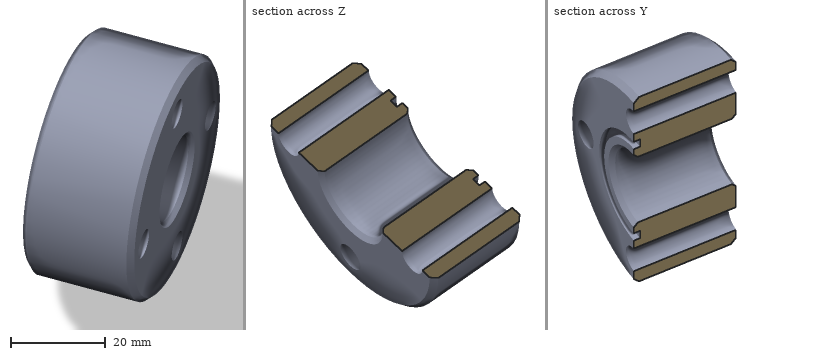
import cadquery as cq

outer_diameter = 54.0
width = 25.0
rim_chamfer = 1.3

bore_diameter = 19.0
bore_chamfer = 1.0

groove_outer_diameter = 28.75
groove_inner_diameter = 24.75
groove_depth = 1.5

hole_diameter = 6.5
hole_count = 4
bolt_circle_diameter = 40.0


def ring_body():
    """Revolve the section, with both rims and both bore mouths chamfered."""
    outer_radius = outer_diameter / 2
    bore_radius = bore_diameter / 2
    half_width = width / 2
    section = [
        (-half_width, bore_radius + bore_chamfer),
        (-half_width, outer_radius - rim_chamfer),
        (-half_width + rim_chamfer, outer_radius),
        (half_width - rim_chamfer, outer_radius),
        (half_width, outer_radius - rim_chamfer),
        (half_width, bore_radius + bore_chamfer),
        (half_width - bore_chamfer, bore_radius),
        (-half_width + bore_chamfer, bore_radius),
    ]
    return cq.Workplane("XY").polyline(section).close().revolve(360, (0, 0, 0), (1, 0, 0))


def face_groove():
    """Annular cutter sunk into the -X face."""
    return (
        cq.Workplane("YZ", origin=(-width / 2, 0, 0))
        .circle(groove_outer_diameter / 2)
        .circle(groove_inner_diameter / 2)
        .extrude(groove_depth)
    )


def bolt_holes():
    """Cutters for the evenly spaced through holes, starting on the Y axis."""
    return (
        cq.Workplane("YZ", origin=(-width / 2, 0, 0))
        .polarArray(bolt_circle_diameter / 2, 0, 360, hole_count)
        .circle(hole_diameter / 2)
        .extrude(width)
    )


result = ring_body().cut(face_groove()).cut(bolt_holes())